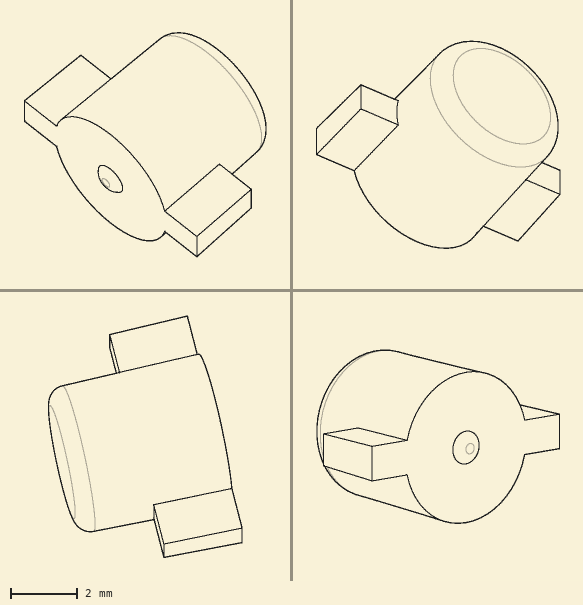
import cadquery as cq
import math

span = 7.16
front_diameter = 4.61
body_length = 4.7
back_fillet = 0.5
draft_angle = 1.0
wing_height = 1.06
wing_length = 2.4
nub_radius = 0.5
nub_height = 0.2
nub_tip_radius = 0.16

draft_slope = math.tan(math.radians(draft_angle))


def make_body():
    """Tapered round body with a rounded back edge."""
    front_radius = front_diameter / 2
    back_radius = front_radius - body_length * draft_slope
    profile = (
        cq.Workplane("XY")
        .lineTo(front_radius, 0)
        .lineTo(back_radius, body_length)
        .lineTo(0, body_length)
        .close()
    )
    body = profile.revolve(360, (0, 0, 0), (0, 1, 0))
    return body.faces(">Y").edges().fillet(back_fillet)


def make_wings():
    """One drafted bar crossing the body, whose ends form both wings."""
    return (
        cq.Workplane("XZ")
        .rect(span, wing_height)
        .extrude(-wing_length, taper=draft_angle)
    )


def make_nub():
    """Domed nub on the front face, rounded from its rim to a flat tip."""
    side_run = nub_radius - nub_tip_radius
    arc_radius = (side_run**2 + nub_height**2) / (2 * nub_height)
    half_sweep = math.asin(side_run / arc_radius) / 2
    arc_middle = (
        nub_tip_radius + arc_radius * math.sin(half_sweep),
        -nub_height + arc_radius * (1 - math.cos(half_sweep)),
    )
    profile = (
        cq.Workplane("XY")
        .lineTo(nub_radius, 0)
        .threePointArc(arc_middle, (nub_tip_radius, -nub_height))
        .lineTo(0, -nub_height)
        .close()
    )
    return profile.revolve(360, (0, 0, 0), (0, 1, 0))


result = make_body().union(make_wings()).union(make_nub())